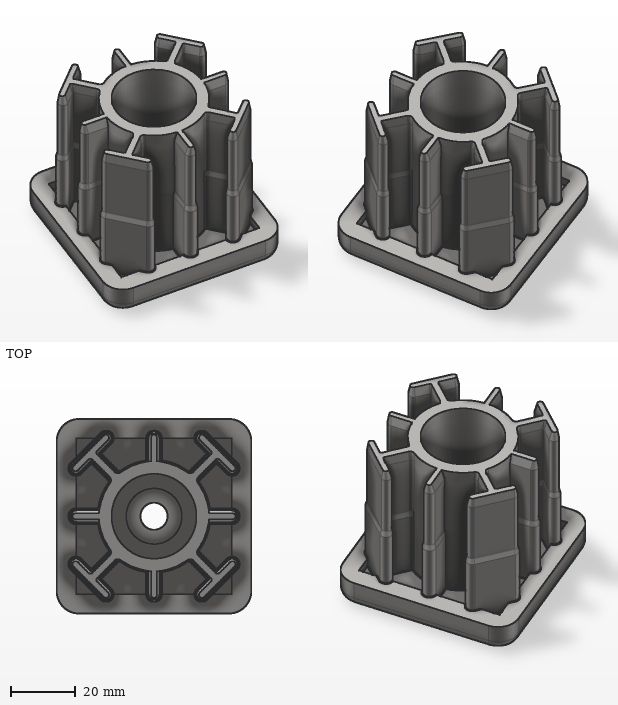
import cadquery as cq
import math

cap_side = 60.0
cap_height = 10.0
cap_corner_radius = 7.0
cap_bottom_radius = 4.0
pocket_side = 48.0
pocket_depth = 3.0
pocket_floor = cap_height - pocket_depth

total_height = 55.0
hub_bottom_radius = 17.15
hub_top_radius = 17.0
bore_diameter = 26.15
bore_floor = pocket_floor
counterbore_diameter = 17.15
counterbore_floor = 3.0
through_hole_diameter = 8.3

lower_section_top = 29.05
middle_section_bottom = 31.0
middle_section_top = 51.85

lower_section = dict(
    width=4.5,
    tip=26.15,
    stem_width=3.85,
    flange_width=4.2,
    flange_face=29.5,
    corner_radius=0.25,
)
middle_section = dict(
    width=3.6,
    tip=25.6,
    stem_width=2.9,
    flange_width=3.25,
    flange_face=29.0,
    corner_radius=0.25,
)
top_section = dict(
    width=1.8,
    tip=25.15,
    stem_width=2.2,
    flange_width=1.9,
    flange_face=28.5,
    corner_radius=0.6,
)
flange_half_length = 6.6
root_radius = 1.3

foot_size = 0.25


def grown(section, margin):
    """The same rib section with every side moved outwards by margin."""
    return dict(
        width=section["width"] + 2 * margin,
        tip=section["tip"] + margin,
        stem_width=section["stem_width"] + 2 * margin,
        flange_width=section["flange_width"] + 2 * margin,
        flange_face=section["flange_face"] + margin,
        corner_radius=section["corner_radius"],
    )


def straight_outline(section, height):
    """Rib along +X from the axis to a rounded tip."""
    half_width = section["width"] / 2
    tip = section["tip"]
    return (
        cq.Workplane("XY", origin=(0, 0, height))
        .moveTo(0, -half_width)
        .lineTo(tip - half_width, -half_width)
        .threePointArc((tip, 0), (tip - half_width, half_width))
        .lineTo(0, half_width)
        .close()
        .val()
    )


def t_outline(section, height):
    """T-shaped rib along +X: a stem with filleted roots and a flange with rounded ends."""
    half_stem = section["stem_width"] / 2
    half_flange = section["flange_width"] / 2
    outer_x = section["flange_face"]
    inner_x = outer_x - section["flange_width"]
    end_y = flange_half_length + half_flange

    root_y = half_stem + root_radius
    root_x = math.sqrt((hub_top_radius + root_radius) ** 2 - root_y**2)
    hub_share = hub_top_radius / (hub_top_radius + root_radius)
    hub_x = root_x * hub_share
    hub_y = root_y * hub_share
    root_angle = (math.atan2(root_y, root_x) + math.pi / 2) / 2
    root_mid_x = root_x - root_radius * math.cos(root_angle)
    root_mid_y = root_y - root_radius * math.sin(root_angle)

    corner_radius = section["corner_radius"]
    corner_x = inner_x - corner_radius
    corner_y = half_stem + corner_radius
    corner_mid = corner_radius * math.sqrt(0.5)
    corner_mid_x = corner_x + corner_mid
    corner_mid_y = corner_y - corner_mid

    return (
        cq.Workplane("XY", origin=(0, 0, height))
        .moveTo(0, -hub_y)
        .lineTo(hub_x, -hub_y)
        .threePointArc((root_mid_x, -root_mid_y), (root_x, -half_stem))
        .lineTo(corner_x, -half_stem)
        .threePointArc((corner_mid_x, -corner_mid_y), (inner_x, -corner_y))
        .lineTo(inner_x, -flange_half_length)
        .threePointArc((outer_x - half_flange, -end_y), (outer_x, -flange_half_length))
        .lineTo(outer_x, flange_half_length)
        .threePointArc((outer_x - half_flange, end_y), (inner_x, flange_half_length))
        .lineTo(inner_x, corner_y)
        .threePointArc((corner_mid_x, corner_mid_y), (corner_x, half_stem))
        .lineTo(root_x, half_stem)
        .threePointArc((root_mid_x, root_mid_y), (hub_x, hub_y))
        .lineTo(0, hub_y)
        .close()
        .val()
    )


def column(outline, section, bottom, top):
    """Straight-sided stage of a rib with one section over its whole height."""
    path = cq.Vector(0, 0, top - bottom)
    return cq.Workplane(cq.Solid.extrudeLinear(outline(section, bottom), [], path))


def shoulder(outline, bottom_section, bottom, upper_section, top):
    """Sloped stage of a rib between two different sections."""
    wires = [outline(bottom_section, bottom), outline(upper_section, top)]
    return cq.Workplane(cq.Solid.makeLoft(wires, True))


def rib(outline):
    """Full-height rib: two straight stages with a shoulder between them and a sloped lead-in on top."""
    lower = column(outline, lower_section, pocket_floor, lower_section_top)
    step = shoulder(outline, lower_section, lower_section_top, middle_section, middle_section_bottom)
    middle = column(outline, middle_section, middle_section_bottom, middle_section_top)
    lead_in = shoulder(outline, middle_section, middle_section_top, top_section, total_height)
    return lower.union(step).union(middle).union(lead_in)


def foot(outline, height):
    """Sloped flare around the base of a rib standing at the given height."""
    flared = grown(lower_section, foot_size)
    return shoulder(outline, flared, height, lower_section, height + foot_size)


def turned(shape, angle):
    return shape.rotate((0, 0, 0), (0, 0, 1), angle)


def cone(bottom_radius, bottom, top_radius, top):
    return cq.Workplane(
        cq.Solid.makeCone(bottom_radius, top_radius, top - bottom, pnt=cq.Vector(0, 0, bottom))
    )


def bore(diameter, floor):
    """Round cutter from the given floor up through the top of the hub."""
    return cq.Workplane("XY", origin=(0, 0, floor)).circle(diameter / 2).extrude(total_height - floor)


cap = (
    cq.Workplane("XY")
    .rect(cap_side, cap_side)
    .extrude(cap_height)
    .edges("|Z")
    .fillet(cap_corner_radius)
    .faces("<Z")
    .edges()
    .fillet(cap_bottom_radius)
    .faces(">Z")
    .workplane()
    .rect(pocket_side, pocket_side)
    .cutBlind(-pocket_depth)
)

hub = cone(hub_bottom_radius, pocket_floor, hub_top_radius, total_height)
hub_foot = cone(hub_bottom_radius + foot_size, pocket_floor, hub_bottom_radius, pocket_floor + foot_size)
body = cap.union(hub).union(hub_foot)

pocket_column = (
    cq.Workplane("XY", origin=(0, 0, pocket_floor))
    .rect(pocket_side, pocket_side)
    .extrude(total_height - pocket_floor)
)
for outline, first_angle in ((straight_outline, 0), (t_outline, 45)):
    standing_rib = rib(outline).union(foot(outline, pocket_floor))
    rim_foot = foot(outline, cap_height)
    for quarter in range(4):
        angle = first_angle + 90 * quarter
        body = body.union(turned(standing_rib, angle))
        body = body.union(turned(rim_foot, angle).cut(pocket_column))

body = body.cut(bore(bore_diameter, bore_floor))
body = body.cut(bore(counterbore_diameter, counterbore_floor))
body = body.cut(bore(through_hole_diameter, 0))
result = body.clean()